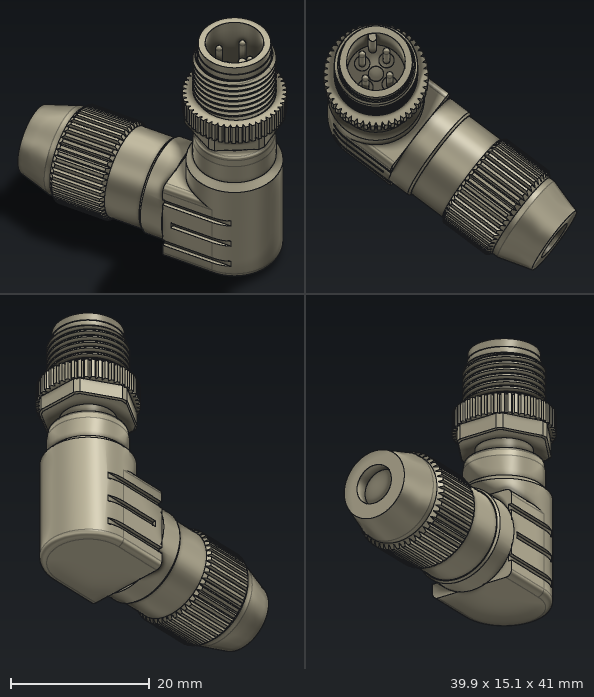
import cadquery as cq
import math


knurl_radius = 7.55
tooth_count = 48
tooth_gap = 0.5
tooth_depth = 0.55

elbow_radius = 7.0
elbow_round = 1.02
shoulder_z = 10.25
block_length = 8.05
slot_width = 1.0
slot_depth = 0.57
slot_end_x = 2.75
side_slot_pitch = 4.0
middle_slot_start_x = -6.7

sleeve_radius = 6.03
sleeve_bottom_z = 11.27
sleeve_taper_z = 14.45
sleeve_edge_radius = 5.85
sleeve_edge_z = 15.5
sleeve_round = 0.4
neck_radius = 4.22

hex_bottom_z = 18.08
hex_chamfer = 0.33
hex_apothem = 6.5
hex_corner_radius = 7.25
ring_bottom_z = 20.58
ring_top_z = 23.7

thread_pitch = 1.0
thread_radius = 6.03
thread_root_radius = 5.55
thread_crest_width = 0.3
thread_base_width = 0.85
thread_foot_depth = 0.06
thread_lead_in = 0.55
thread_top_z = 31.1
thread_crest_z = 30.7
plug_radius = 5.35
tip_radius = 5.25
tip_bottom_z = 32.15
plug_top_z = 41 - knurl_radius

socket_radius = 4.22
socket_depth = 9.0
pin_circle_radius = 2.5
pin_radius = 0.5
pin_tip_drop = 1.8
recess_radius = 1.1
recess_depth = 0.15
key_radius = 0.57
key_center_radius = 3.65
key_drop = 0.33
key_angle = -45

gland_end_x = -32.4
nose_end_radius = 5.33
nose_radius = 6.85
nose_cone_x = -27.3
nut_start_x = -26.4
nut_end_x = -17.45
nut_start_chamfer = 0.75
nut_end_chamfer = 0.55
collar_start_x = -11.8
collar_radius = 7.4
collar_edge_radius = 7.15
collar_chamfer = 0.35
bore_radius = 3.05
bore_depth = 2.0


def disc(radius, bottom_z, top_z):
    return cq.Workplane("XY").workplane(offset=bottom_z).circle(radius).extrude(top_z - bottom_z)


def knurl_grooves(length):
    """V grooves around the Z axis, from z = 0 up to the given length."""
    overshoot = 0.2
    mouth = tooth_gap / 2 * (tooth_depth + overshoot) / tooth_depth
    groove = (
        cq.Workplane("XY")
        .moveTo(knurl_radius - tooth_depth, 0)
        .lineTo(knurl_radius + overshoot, mouth)
        .lineTo(knurl_radius + overshoot, -mouth)
        .close()
        .extrude(length)
        .val()
    )
    step = 360 / tooth_count
    grooves = [groove.rotate((0, 0, 0), (0, 0, 1), i * step) for i in range(tooth_count)]
    return cq.Workplane(cq.Compound.makeCompound(grooves))


def make_elbow():
    cylinder = disc(elbow_radius, -elbow_radius, shoulder_z).faces("<Z").edges().fillet(elbow_round)
    block = (
        cq.Workplane("XY")
        .box(block_length, 2 * elbow_radius, 2 * elbow_radius)
        .translate((-block_length / 2, 0, 0))
        .edges("|X")
        .fillet(elbow_round)
    )
    elbow = cylinder.union(block)
    slot_starts = {
        side_slot_pitch: -block_length,
        0: middle_slot_start_x,
        -side_slot_pitch: -block_length,
    }
    for slot_z, start_x in slot_starts.items():
        length = slot_end_x - start_x
        for side in (-1, 1):
            slot = cq.Workplane("XY").box(length, 2 * slot_depth, slot_width)
            elbow = elbow.cut(slot.translate((start_x + length / 2, side * elbow_radius, slot_z)))
    return elbow


def make_sleeve():
    """Shoulder cone, tapered sleeve and neck, up to the coupling nut."""
    sleeve_top_z = sleeve_edge_z + sleeve_round
    return (
        cq.Workplane("XZ")
        .moveTo(0, shoulder_z)
        .lineTo(elbow_radius, shoulder_z)
        .lineTo(sleeve_radius, sleeve_bottom_z)
        .lineTo(sleeve_radius, sleeve_taper_z)
        .lineTo(sleeve_edge_radius, sleeve_edge_z)
        .radiusArc((sleeve_edge_radius - sleeve_round, sleeve_top_z), -sleeve_round)
        .lineTo(neck_radius, sleeve_top_z)
        .lineTo(neck_radius, hex_bottom_z)
        .lineTo(0, hex_bottom_z)
        .close()
        .revolve(360, (0, 0, 0), (0, 1, 0))
    )


def make_coupling_nut():
    hex_height = ring_bottom_z - hex_bottom_z
    corner_diameter = 2 * hex_apothem / math.cos(math.pi / 6)
    rounding = disc(hex_corner_radius, hex_bottom_z, ring_bottom_z)
    hexagon = (
        cq.Workplane("XY")
        .workplane(offset=hex_bottom_z)
        .transformed(rotate=(0, 0, 90))
        .polygon(6, corner_diameter)
        .extrude(hex_height)
        .intersect(rounding)
        .faces("<Z")
        .chamfer(hex_chamfer, hex_chamfer / 2)
    )
    grooves = knurl_grooves(ring_top_z - ring_bottom_z).translate((0, 0, ring_bottom_z))
    ring = disc(knurl_radius, ring_bottom_z, ring_top_z).cut(grooves)
    return hexagon.union(ring)


def make_thread_sleeve():
    """Core with a right-handed ridge, trimmed flat at both ends of the threaded length."""
    turns = math.ceil((thread_top_z - ring_top_z) / thread_pitch) + 2
    start_z = thread_crest_z - (turns - 1) * thread_pitch
    flank_run = (thread_base_width - thread_crest_width) / 2
    flank_slope = flank_run / (thread_radius - thread_root_radius)
    foot_radius = thread_root_radius - thread_foot_depth
    foot_half_width = thread_base_width / 2 + thread_foot_depth * flank_slope
    helix = cq.Wire.makeHelix(thread_pitch, turns * thread_pitch, thread_root_radius)
    ridge = (
        cq.Workplane("XZ")
        .moveTo(foot_radius, -foot_half_width)
        .lineTo(thread_radius, -thread_crest_width / 2)
        .lineTo(thread_radius, thread_crest_width / 2)
        .lineTo(foot_radius, foot_half_width)
        .close()
        .sweep(cq.Workplane(helix), isFrenet=True)
        .translate((0, 0, start_z))
    )
    core = disc(thread_root_radius, start_z - thread_pitch, start_z + (turns + 1) * thread_pitch)
    envelope_radius = thread_root_radius + thread_lead_in
    envelope = disc(envelope_radius, ring_top_z, thread_top_z).faces(">Z").chamfer(thread_lead_in)
    envelope = envelope.cut(disc(plug_radius, ring_top_z, thread_top_z))
    return core.union(ridge, clean=False).intersect(envelope, clean=False)


def make_plug():
    barrel = disc(plug_radius, ring_top_z, tip_bottom_z)
    tip = disc(tip_radius, tip_bottom_z, plug_top_z)
    return barrel.union(tip)


def make_socket_cut():
    """Space inside the plug, leaving the pins and the key standing."""
    floor_z = plug_top_z - socket_depth
    socket = disc(socket_radius, floor_z, plug_top_z)
    recess = disc(recess_radius, floor_z - recess_depth, floor_z)
    socket = socket.union(recess)
    tip_z = plug_top_z - pin_tip_drop
    pin = disc(pin_radius, floor_z - recess_depth, tip_z - pin_radius)
    dome = cq.Workplane("XY").sphere(pin_radius).translate((0, 0, tip_z - pin_radius))
    pin = pin.union(dome)
    for i in range(4):
        angle = math.radians(90 * i)
        place = (pin_circle_radius * math.cos(angle), pin_circle_radius * math.sin(angle), 0)
        socket = socket.union(recess.translate(place)).cut(pin.translate(place))
    key_top_z = plug_top_z - key_drop
    bar_length = socket_radius + key_radius - key_center_radius
    bar = (
        cq.Workplane("XY")
        .box(bar_length, 2 * key_radius, key_top_z - floor_z, centered=(False, True, False))
        .translate((key_center_radius, 0, floor_z))
    )
    nose = disc(key_radius, floor_z, key_top_z).translate((key_center_radius, 0, 0))
    key = nose.union(bar).rotate((0, 0, 0), (0, 0, 1), key_angle)
    return socket.cut(key)


def make_gland():
    body = (
        cq.Workplane("XY")
        .moveTo(gland_end_x, 0)
        .lineTo(gland_end_x, nose_end_radius)
        .lineTo(nose_cone_x, nose_radius)
        .lineTo(nut_start_x, nose_radius)
        .lineTo(nut_start_x + nut_start_chamfer, knurl_radius)
        .lineTo(nut_end_x - nut_end_chamfer, knurl_radius)
        .lineTo(nut_end_x, elbow_radius)
        .lineTo(collar_start_x, elbow_radius)
        .lineTo(collar_start_x, collar_edge_radius)
        .lineTo(collar_start_x + collar_chamfer, collar_radius)
        .lineTo(-block_length, collar_radius)
        .lineTo(-block_length, 0)
        .close()
        .revolve(360, (0, 0, 0), (1, 0, 0))
    )
    grooves = (
        knurl_grooves(nut_end_x - nut_start_x)
        .rotate((0, 0, 0), (0, 1, 0), 90)
        .translate((nut_start_x, 0, 0))
    )
    bore = cq.Workplane("YZ").workplane(offset=gland_end_x).circle(bore_radius).extrude(bore_depth)
    return body.cut(grooves).cut(bore)


plug_side = make_sleeve().union(make_coupling_nut()).union(make_plug()).cut(make_socket_cut())
body = make_elbow().union(plug_side).union(make_gland())
result = body.union(make_thread_sleeve(), clean=False, glue=True).solids()